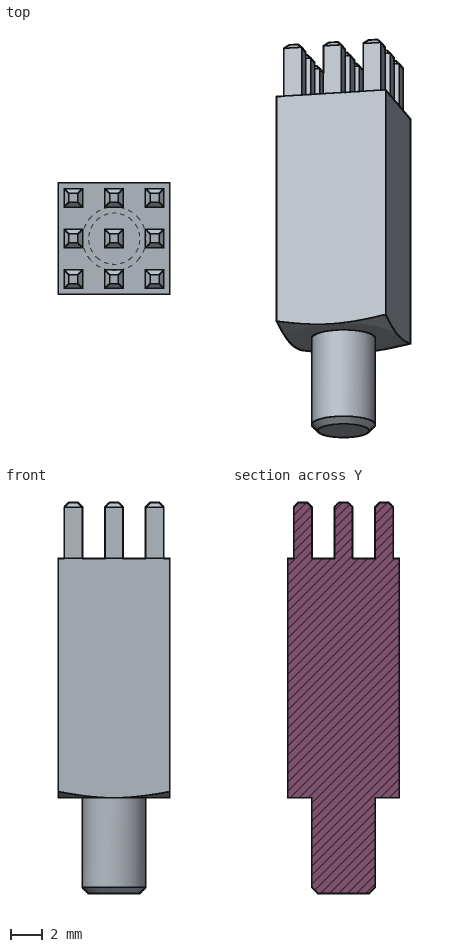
import cadquery as cq
import math

total_height = 24.5
body_width = 7.0
body_height = 15.0
shank_diameter = 4.0
shank_length = 6.0
shank_chamfer = 0.4

pins_per_side = 3
pin_pitch = 2.55
pin_width = 1.15
pin_tip_chamfer = 0.3

relief_angle = 15.0

body_top = shank_length + body_height
pin_height = total_height - body_top


def make_body():
    """Square block whose lower corners are trimmed by a cone touching the side faces."""
    block = cq.Workplane("XY").workplane(offset=shank_length).rect(body_width, body_width).extrude(body_height)
    inner_radius = body_width / 2
    outer_radius = body_width
    relief_rise = (outer_radius - inner_radius) * math.tan(math.radians(relief_angle))
    envelope = (
        cq.Workplane("XZ")
        .moveTo(0, shank_length)
        .lineTo(inner_radius, shank_length)
        .lineTo(outer_radius, shank_length + relief_rise)
        .lineTo(outer_radius, body_top)
        .lineTo(0, body_top)
        .close()
        .revolve(360, (0, 0, 0), (0, 1, 0))
    )
    return block.intersect(envelope)


def make_shank():
    """Round shank with a chamfered free end."""
    shank = cq.Workplane("XY").circle(shank_diameter / 2).extrude(shank_length)
    return shank.faces("<Z").chamfer(shank_chamfer)


def make_pins():
    """Grid of square pins, each ending in a truncated pyramid."""
    return (
        cq.Workplane("XY")
        .workplane(offset=body_top)
        .rarray(pin_pitch, pin_pitch, pins_per_side, pins_per_side)
        .rect(pin_width, pin_width)
        .extrude(pin_height)
        .faces(">Z")
        .edges()
        .chamfer(pin_tip_chamfer)
    )


result = make_body().union(make_shank()).union(make_pins())